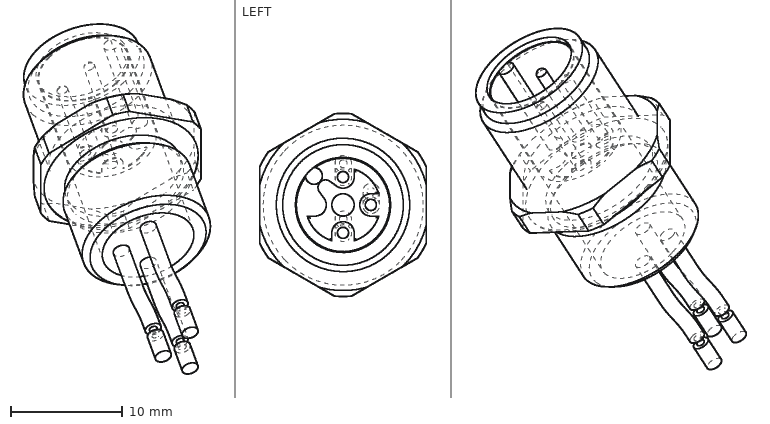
import cadquery as cq
import math

NECK_D = 10.85
BODY_D = 12.0
BORE_D = 8.57
FRONT_NECK_END = 1.35
HEX_FRONT = 10.55
HEX_REAR = 13.0
HEX_FLATS = 15.0
HEX_CORNER_D = 16.5
HEX_CHAMFER_LENGTH = 0.4
HEX_CHAMFER_DEPTH = 0.55
COLLAR_FILLET = 0.305
FLANGE_D = 14.4
FLANGE_REAR = 13.5
FLANGE_ROUND = FLANGE_REAR - HEX_REAR
REAR_NECK_END = 14.45
SHELL_REAR = 21.95

CUP_FRONT = 0.55
CUP_D = 8.4
CUP_FLOOR = 10.05
CUP_FILLET = 0.35
PIN_CIRCLE_R = 2.5
CONTACT_ANGLES = (0, 90, 180, 270)
PIN_ANGLES = CONTACT_ANGLES[1:]
PIN_D = 1.0
PIN_TIP = 2.0
PIN_DOME_HEIGHT = 0.4

KEY_D = 1.5
KEY_R = 3.7
KEY_ANGLE = 45

LOBE_D = 2.0
RECESS_R = 3.37
RECESS_DEPTH = 0.2
RECESS_FILLET = 0.18
KEY_POCKET_R = 0.68
KEY_POCKET_DISTANCE = 2.22

WIRE_D = 1.5
CONDUCTOR_D = 0.7
BEND_START = 26.35
BEND_END = 31.75
WIRE_RISE = 1.22
INSULATION_END = 32.5
FERRULE_START = 33.25
WIRE_END = 35.85


def disc(x_start, x_end, diameter, y=0.0, z=0.0):
    """Cylinder along X."""
    plane = cq.Workplane("YZ", origin=(x_start, y, z))
    return plane.circle(diameter / 2).extrude(x_end - x_start)


def turned(points):
    """Solid of revolution about X from (x, radius) points."""
    return cq.Workplane("XY").polyline(points).close().revolve(360, (0, 0, 0), (1, 0, 0))


def on_circle(radius, angle):
    """(y, z) at an angle from +Y towards +Z."""
    turn = math.radians(angle)
    return radius * math.cos(turn), radius * math.sin(turn)


KEY_CENTRE = on_circle(KEY_R, KEY_ANGLE)
PIN_PLACES = [on_circle(PIN_CIRCLE_R, angle) for angle in PIN_ANGLES]


def turned_shell():
    """Stepped cylinder with 45-degree shoulders and a concave fillet in front of the collar."""
    body_r = BODY_D / 2
    neck_r = NECK_D / 2
    chamfer = (BODY_D - NECK_D) / 2
    fillet_middle = COLLAR_FILLET * (1 - math.sqrt(0.5))
    return (
        cq.Workplane("XY")
        .moveTo(0, 0)
        .lineTo(0, neck_r)
        .lineTo(FRONT_NECK_END, neck_r)
        .lineTo(FRONT_NECK_END + chamfer, body_r)
        .lineTo(HEX_FRONT - COLLAR_FILLET, body_r)
        .threePointArc(
            (HEX_FRONT - fillet_middle, body_r + fillet_middle),
            (HEX_FRONT, body_r + COLLAR_FILLET),
        )
        .lineTo(HEX_REAR, body_r + COLLAR_FILLET)
        .lineTo(HEX_REAR, neck_r)
        .lineTo(REAR_NECK_END, neck_r)
        .lineTo(REAR_NECK_END + chamfer, body_r)
        .lineTo(SHELL_REAR - chamfer, body_r)
        .lineTo(SHELL_REAR, neck_r)
        .lineTo(SHELL_REAR, 0)
        .close()
        .revolve(360, (0, 0, 0), (1, 0, 0))
    )


def hex_collar():
    """Hexagon with two flats facing Y, its corners turned round and chamfered in front."""
    hexagon = (
        cq.Workplane("YZ", origin=(HEX_FRONT, 0, 0))
        .polygon(6, HEX_FLATS / math.cos(math.pi / 6))
        .extrude(HEX_REAR - HEX_FRONT)
        .rotate((0, 0, 0), (1, 0, 0), 90)
    )
    corner_r = HEX_CORNER_D / 2
    envelope = turned([
        (HEX_FRONT, 0),
        (HEX_FRONT, corner_r - HEX_CHAMFER_DEPTH),
        (HEX_FRONT + HEX_CHAMFER_LENGTH, corner_r),
        (HEX_REAR, corner_r),
        (HEX_REAR, 0),
    ])
    return hexagon.intersect(envelope)


def flange():
    """Washer face behind the hexagon with its rear rim rounded."""
    outer_r = FLANGE_D / 2
    bend = FLANGE_ROUND * math.sqrt(0.5)
    return (
        cq.Workplane("XY")
        .moveTo(HEX_REAR, 0)
        .lineTo(HEX_REAR, outer_r)
        .threePointArc(
            (HEX_REAR + bend, outer_r - FLANGE_ROUND + bend),
            (FLANGE_REAR, outer_r - FLANGE_ROUND),
        )
        .lineTo(FLANGE_REAR, 0)
        .close()
        .revolve(360, (0, 0, 0), (1, 0, 0))
    )


def make_shell():
    """Shell body with collar and flange, bored through."""
    shell = turned_shell().union(hex_collar()).union(flange())
    return shell.cut(disc(0, SHELL_REAR, BORE_D))


def key_pocket():
    """Part of the floor recess that narrows to a rounded tip beside the key."""
    tip_y, tip_z = on_circle(KEY_POCKET_DISTANCE, KEY_ANGLE)
    lobe_r = LOBE_D / 2
    span = math.hypot(tip_y, PIN_CIRCLE_R - tip_z)
    towards_lobe = math.atan2(PIN_CIRCLE_R - tip_z, -tip_y)
    normal = towards_lobe - math.acos((KEY_POCKET_R + lobe_r) / span)
    normal_y = math.cos(normal)
    normal_z = math.sin(normal)
    tip_point = (tip_y + KEY_POCKET_R * normal_y, tip_z + KEY_POCKET_R * normal_z)
    lobe_point = (-lobe_r * normal_y, PIN_CIRCLE_R - lobe_r * normal_z)
    apex = on_circle(KEY_POCKET_DISTANCE + KEY_POCKET_R, KEY_ANGLE)
    return (
        cq.Workplane("YZ", origin=(CUP_FLOOR, 0, 0))
        .moveTo(0, 0)
        .lineTo(0, PIN_CIRCLE_R)
        .lineTo(*lobe_point)
        .lineTo(*tip_point)
        .threePointArc(apex, tip_point[::-1])
        .lineTo(*lobe_point[::-1])
        .lineTo(PIN_CIRCLE_R, 0)
        .close()
        .extrude(RECESS_DEPTH)
    )


def floor_recess():
    """Recess between raised contact lobes and the central boss."""
    recess_end = CUP_FLOOR + RECESS_DEPTH
    recess = disc(CUP_FLOOR, recess_end, 2 * RECESS_R)
    keyed_quadrant = (
        cq.Workplane("YZ", origin=(CUP_FLOOR, 0, 0))
        .rect(RECESS_R, RECESS_R, centered=False)
        .extrude(RECESS_DEPTH)
    )
    recess = recess.cut(keyed_quadrant).union(key_pocket())
    for angle in CONTACT_ANGLES:
        lobe = (
            disc(CUP_FLOOR, recess_end, LOBE_D, PIN_CIRCLE_R, 0)
            .union(
                cq.Workplane("YZ", origin=(CUP_FLOOR, PIN_CIRCLE_R, -LOBE_D / 2))
                .rect(RECESS_R, LOBE_D, centered=False)
                .extrude(RECESS_DEPTH)
            )
            .rotate((0, 0, 0), (1, 0, 0), angle)
        )
        recess = recess.cut(lobe)
    recess = recess.cut(disc(CUP_FLOOR, recess_end, LOBE_D))
    return recess.faces(">X").edges().fillet(RECESS_FILLET)


def pin(y, z):
    """Contact pin with a domed tip."""
    pin_r = PIN_D / 2
    dome_edge = PIN_TIP + PIN_DOME_HEIGHT
    sphere_r = (pin_r**2 + PIN_DOME_HEIGHT**2) / (2 * PIN_DOME_HEIGHT)
    half_angle = math.asin(pin_r / sphere_r) / 2
    dome_middle = (
        PIN_TIP + sphere_r * (1 - math.cos(half_angle)),
        sphere_r * math.sin(half_angle),
    )
    return (
        cq.Workplane("XY")
        .moveTo(PIN_TIP, 0)
        .threePointArc(dome_middle, (dome_edge, pin_r))
        .lineTo(CUP_FLOOR, pin_r)
        .lineTo(CUP_FLOOR, 0)
        .close()
        .revolve(360, (0, 0, 0), (1, 0, 0))
        .translate((0, y, z))
    )


def wire(y, z):
    """Insulated wire with an S-bend, a bared conductor and a ferrule at the end."""
    raised_z = z + WIRE_RISE
    bend_path = cq.Workplane("XZ", origin=(0, y, 0)).spline(
        [(BEND_START, z), (BEND_END, raised_z)],
        tangents=[(1, 0), (1, 0)],
    )
    bend = (
        cq.Workplane("YZ", origin=(BEND_START, y, z))
        .circle(WIRE_D / 2)
        .sweep(bend_path)
    )
    return (
        disc(SHELL_REAR, BEND_START, WIRE_D, y, z)
        .union(bend)
        .union(disc(BEND_END, INSULATION_END, WIRE_D, y, raised_z))
        .union(disc(INSULATION_END, FERRULE_START, CONDUCTOR_D, y, raised_z))
        .union(disc(FERRULE_START, WIRE_END, WIRE_D, y, raised_z))
    )


def key():
    """Round key on the cup wall, trimmed to the bore of the shell."""
    rod = disc(CUP_FRONT, CUP_FLOOR, KEY_D, *KEY_CENTRE)
    return rod.intersect(disc(CUP_FRONT, CUP_FLOOR, BORE_D))


def make_insert():
    """Insert body: cup, floor recess, key, contact pins and wires in one piece."""
    cup_cavity = disc(CUP_FRONT, CUP_FLOOR, CUP_D).faces(">X").edges().fillet(CUP_FILLET)
    insert = disc(CUP_FRONT, SHELL_REAR, BORE_D).cut(cup_cavity).cut(floor_recess())
    insert = insert.union(key())
    for y, z in PIN_PLACES:
        insert = insert.union(pin(y, z)).union(wire(y, z))
    return insert


shell = make_shell()
insert = make_insert()

result = cq.Compound.makeCompound([shell.solids().val(), insert.solids().val()])